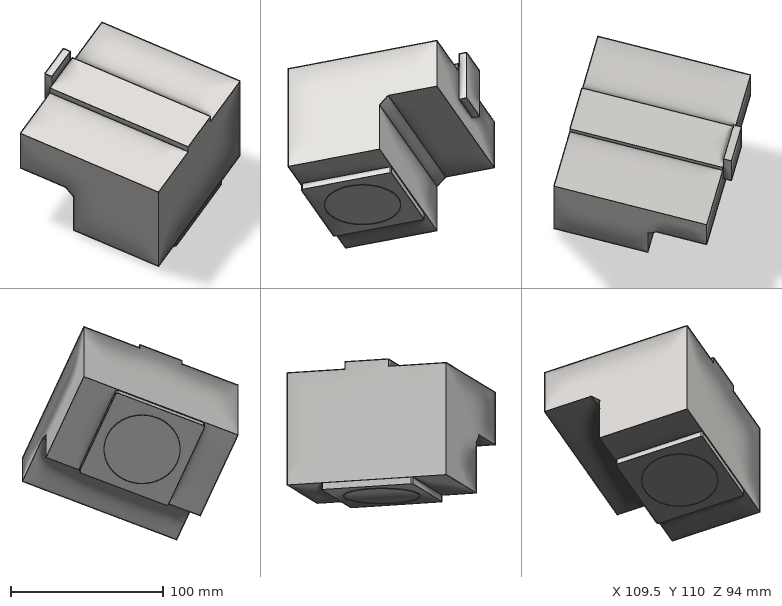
import cadquery as cq

length = 109.5
width = 110.0
height = 94.0

tab_thickness = 5.3
tab_width = 25.0
tab_height = 35.0
tab_rise = 9.0

ridge_width = 30.0
ridge_height = 5.0
column_length = 64.0
arm_underside = 40.0
corner_chamfer = 6.0

plate_size = 63.2
plate_thickness = 4.5
plate_chamfer = 1.0
disc_diameter = 50.0
disc_thickness = 0.3

foot_drop = plate_thickness + disc_thickness
tab_top = height - foot_drop
ridge_top = tab_top - tab_rise
body_top = ridge_top - ridge_height

body_length = length - tab_thickness
column_start = length - column_length
column_center = length - column_length / 2


def make_body():
    """L-shaped profile with a bevelled inner corner, extruded across the width."""
    return (
        cq.Workplane("XZ")
        .moveTo(tab_thickness, body_top)
        .lineTo(length, body_top)
        .lineTo(length, 0)
        .lineTo(column_start, 0)
        .lineTo(column_start, arm_underside - corner_chamfer)
        .lineTo(column_start - corner_chamfer, arm_underside)
        .lineTo(tab_thickness, arm_underside)
        .close()
        .extrude(width / 2, both=True)
    )


def make_ridge():
    return (
        cq.Workplane("XY")
        .box(body_length, ridge_width, ridge_height, centered=(False, True, False))
        .translate((tab_thickness, 0, body_top))
    )


def make_tab():
    return (
        cq.Workplane("XY")
        .box(tab_thickness, tab_width, tab_height, centered=(False, True, False))
        .translate((0, 0, tab_top - tab_height))
    )


def make_foot():
    """Plate with chamfered corners and a thin disc below it."""
    plate = (
        cq.Workplane("XY")
        .rect(plate_size, plate_size)
        .extrude(-plate_thickness)
        .edges("|Z")
        .chamfer(plate_chamfer)
    )
    disc = (
        cq.Workplane("XY")
        .workplane(offset=-plate_thickness)
        .circle(disc_diameter / 2)
        .extrude(-disc_thickness)
    )
    return plate.union(disc).translate((column_center, 0, 0))


result = make_body().union(make_ridge()).union(make_tab()).union(make_foot())